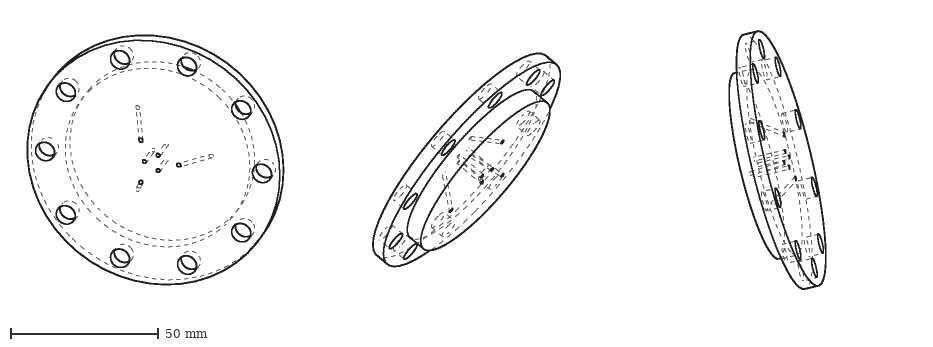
import cadquery as cq
import math

flange_diameter = 88.9
total_thickness = 11.1
flange_thickness = 4.9
boss_diameter = 65.0

bolt_count = 10
bolt_hole_diameter = 6.7
bolt_circle_radius = 38.1

passage_count = 3
passage_diameter = 1.25
inner_ring_radius = 3.2
outer_ring_radius = 8.9
outer_tilt = 37.0
cut_margin = 2.7


def ring_of_holes(diameter, radius, count, start_angle, tilt=0.0):
    """Round cutters whose axes cross the front face on a circle, tilted radially."""
    lean = math.radians(tilt)
    axis = cq.Vector(math.sin(lean), math.cos(lean), 0)
    face_point = cq.Vector(radius, 0, 0)
    length = total_thickness / math.cos(lean) + 2 * cut_margin
    cutter = cq.Solid.makeCylinder(diameter / 2, length, face_point - axis * cut_margin, axis)
    cutters = cq.Workplane()
    for index in range(count):
        angle = start_angle + index * 360 / count
        cutters = cutters.add(cutter.rotate(cq.Vector(0, 0, 0), cq.Vector(0, -1, 0), angle))
    return cutters.combine()


flange = cq.Workplane("XZ").circle(flange_diameter / 2).extrude(-flange_thickness)
boss = cq.Workplane("XZ").circle(boss_diameter / 2).extrude(-total_thickness)

bolt_holes = ring_of_holes(bolt_hole_diameter, bolt_circle_radius, bolt_count, 0)
inner_passages = ring_of_holes(passage_diameter, inner_ring_radius, passage_count, 60)
outer_passages = ring_of_holes(passage_diameter, outer_ring_radius, passage_count, 0, outer_tilt)

result = flange.union(boss).cut(bolt_holes).cut(inner_passages).cut(outer_passages)